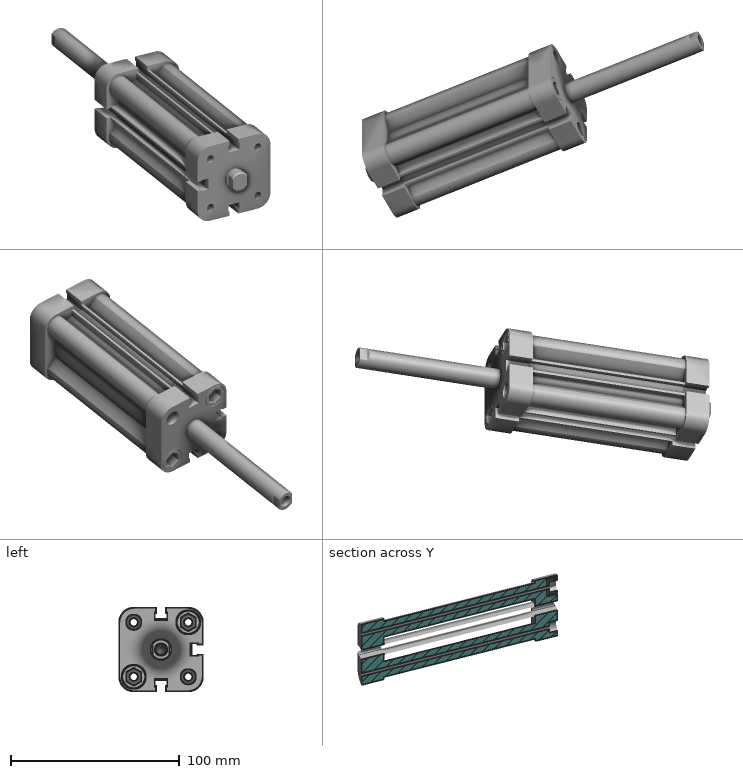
import cadquery as cq
import math

TOTAL_LENGTH = 218.5
CAP_START = 87.0
CAP_LENGTH = 14.5
BARREL_LENGTH = 95.5
BARREL_START = CAP_START + CAP_LENGTH
REAR_CAP_START = BARREL_START + BARREL_LENGTH
HOUSING_LENGTH = REAR_CAP_START + CAP_LENGTH - CAP_START

CAP_SIZE = 49.5
HALF_CAP = CAP_SIZE / 2
BOLT_OFFSET = 16.2
CAP_CORNER_RADIUS = HALF_CAP - BOLT_OFFSET

LOBE_RADIUS = 6.8
LOBE_EDGE_OFFSET = 13.5
LOBE_FOOT_OFFSET = 7.9
TUBE_RADIUS = 18.1
RAIL_HALF_WIDTH = 4.4
RAIL_TOP = 22.0
RAIL_FILLET = 1.3
LOBE_FILLET = 0.7
EDGE_TOLERANCE = 0.02

SLOT_NECK_WIDTH = 6.0
SLOT_WIDTH = 7.2
CAP_LIP_BOTTOM = 22.0
CAP_SLOT_FLOOR = 17.5
BARREL_LIP_BOTTOM = 21.5
BARREL_SLOT_FLOOR = 18.1
SLOT_ANGLES = (0, 90, 180)

BOLT_HOLE_DIAMETER = 4.8
COUNTERBORE_DIAMETER = 9.2
COUNTERBORE_DEPTH = 5.0
SCREW_DIAMETER = 13.5
SCREW_LENGTH = 6.5
SCREW_RECESS_DIAMETER = 14.5
SOCKET_FLATS = 9.2
SOCKET_DEPTH = 5.0
SCREW_CORNERS = [(-BOLT_OFFSET, BOLT_OFFSET), (BOLT_OFFSET, -BOLT_OFFSET)]
PLAIN_CORNERS = [(BOLT_OFFSET, BOLT_OFFSET), (-BOLT_OFFSET, -BOLT_OFFSET)]

ROD_DIAMETER = 12.2
ROD_RADIUS = ROD_DIAMETER / 2
ROD_REAR_CHAMFER = 0.7
ROD_FRONT_CHAMFER = 0.2
FLATS_WIDTH = 9.8
FLATS_LENGTH = 4.8
FLATS_RAMP_LENGTH = 0.9
TAP_DIAMETER = 6.3
TAP_DEPTH = 11.0
TAP_COUNTERSINK = 0.55
DRILL_TIP_ANGLE = 118


def section_at(x):
    """Workplane across the axis at x: local axes are Y and Z, extrusion runs along +X."""
    return cq.Workplane("YZ", origin=(x, 0, 0))


def make_cap(x):
    block = section_at(x).rect(CAP_SIZE, CAP_SIZE).extrude(CAP_LENGTH)
    return block.edges("|X").fillet(CAP_CORNER_RADIUS)


def make_lobe(angle):
    """Corner lobe round a bolt hole, with flat flanks running in towards the tube."""
    edge_drop = BOLT_OFFSET - LOBE_EDGE_OFFSET
    edge_height = BOLT_OFFSET + math.sqrt(LOBE_RADIUS**2 - edge_drop**2)
    tip = BOLT_OFFSET + LOBE_RADIUS / math.sqrt(2)
    foot_height = math.sqrt(TUBE_RADIUS**2 - LOBE_FOOT_OFFSET**2)
    lobe = (
        section_at(BARREL_START)
        .moveTo(0, 0)
        .lineTo(LOBE_FOOT_OFFSET, foot_height)
        .lineTo(LOBE_EDGE_OFFSET, edge_height)
        .threePointArc((tip, tip), (edge_height, LOBE_EDGE_OFFSET))
        .lineTo(foot_height, LOBE_FOOT_OFFSET)
        .close()
        .extrude(BARREL_LENGTH)
    )
    return lobe.rotate((0, 0, 0), (1, 0, 0), angle)


def make_rail(angle):
    """Raised rail that carries a T-slot."""
    rail = section_at(BARREL_START).center(0, RAIL_TOP / 2).rect(2 * RAIL_HALF_WIDTH, RAIL_TOP)
    return rail.extrude(BARREL_LENGTH).rotate((0, 0, 0), (1, 0, 0), angle)


def has_foot_at(offset):
    """Filter for lengthwise edges on the tube surface, at this sideways offset from a side's middle."""

    def matches(edge):
        center = edge.Center()
        on_tube = abs(math.hypot(center.y, center.z) - TUBE_RADIUS) < EDGE_TOLERANCE
        sideways = min(abs(center.y), abs(center.z))
        return on_tube and abs(sideways - offset) < EDGE_TOLERANCE

    return matches


def make_barrel():
    """Round tube with a lobe at each corner and a rail at each T-slot, blended at their feet."""
    barrel = section_at(BARREL_START).circle(TUBE_RADIUS).extrude(BARREL_LENGTH)
    for quarter in range(4):
        barrel = barrel.union(make_lobe(90 * quarter))
    for angle in SLOT_ANGLES:
        barrel = barrel.union(make_rail(angle))
    barrel = barrel.edges("|X").filter(has_foot_at(RAIL_HALF_WIDTH)).fillet(RAIL_FILLET)
    return barrel.edges("|X").filter(has_foot_at(LOBE_FOOT_OFFSET)).fillet(LOBE_FILLET)


def make_slot(x, length, lip_bottom, floor):
    """Cutter for the top T-slot, open outward as far as the cap faces."""
    neck = (
        section_at(x)
        .center(0, (floor + HALF_CAP) / 2)
        .rect(SLOT_NECK_WIDTH, HALF_CAP - floor)
        .extrude(length)
    )
    wide = (
        section_at(x)
        .center(0, (floor + lip_bottom) / 2)
        .rect(SLOT_WIDTH, lip_bottom - floor)
        .extrude(length)
    )
    return neck.union(wide)


def make_housing():
    """Both caps and the profiled barrel between them, bored for the rod and the bolts."""
    housing = make_barrel()
    for x in (CAP_START, REAR_CAP_START):
        housing = housing.union(make_cap(x))

    slots = [
        make_slot(CAP_START, CAP_LENGTH, CAP_LIP_BOTTOM, CAP_SLOT_FLOOR),
        make_slot(BARREL_START, BARREL_LENGTH, BARREL_LIP_BOTTOM, BARREL_SLOT_FLOOR),
        make_slot(REAR_CAP_START, CAP_LENGTH, CAP_LIP_BOTTOM, CAP_SLOT_FLOOR),
    ]
    for angle in SLOT_ANGLES:
        for slot in slots:
            housing = housing.cut(slot.rotate((0, 0, 0), (1, 0, 0), angle))

    front = section_at(CAP_START)
    corners = SCREW_CORNERS + PLAIN_CORNERS
    rod_bore = front.circle(ROD_RADIUS).extrude(HOUSING_LENGTH)
    bolt_holes = front.pushPoints(corners).circle(BOLT_HOLE_DIAMETER / 2).extrude(HOUSING_LENGTH)
    counterbores = (
        front.pushPoints(PLAIN_CORNERS).circle(COUNTERBORE_DIAMETER / 2).extrude(COUNTERBORE_DEPTH)
    )
    recesses = (
        front.pushPoints(SCREW_CORNERS).circle(SCREW_RECESS_DIAMETER / 2).extrude(SCREW_LENGTH)
    )
    return housing.cut(rod_bore).cut(bolt_holes).cut(counterbores).cut(recesses)


def make_screw(corner):
    """Hollow screw with a hexagon socket, flush with the front cap."""
    front = section_at(CAP_START).center(*corner)
    body = front.circle(SCREW_DIAMETER / 2).circle(BOLT_HOLE_DIAMETER / 2).extrude(SCREW_LENGTH)
    socket = front.polygon(6, SOCKET_FLATS, circumscribed=True).extrude(SOCKET_DEPTH)
    return body.cut(socket)


def make_flat_cutter(side):
    """Cutter for one flat at the rod's front tip, ending in a steep ramp."""
    inner = side * FLATS_WIDTH / 2
    outer = side * ROD_RADIUS
    return (
        cq.Workplane("XY")
        .moveTo(0, inner)
        .lineTo(FLATS_LENGTH, inner)
        .lineTo(FLATS_LENGTH + FLATS_RAMP_LENGTH, outer)
        .lineTo(0, outer)
        .close()
        .extrude(ROD_RADIUS, both=True)
    )


def make_rod():
    """Through rod with spanner flats at both ends and a drilled hole in the front tip."""
    rod = section_at(0).circle(ROD_RADIUS).extrude(TOTAL_LENGTH)
    rod = rod.faces(">X").chamfer(ROD_REAR_CHAMFER)
    rod = rod.faces("<X").chamfer(ROD_FRONT_CHAMFER)
    for side in (-1, 1):
        front_flat = make_flat_cutter(side)
        rear_flat = front_flat.mirror("YZ").translate((TOTAL_LENGTH, 0, 0))
        rod = rod.cut(front_flat).cut(rear_flat)

    tap_radius = TAP_DIAMETER / 2
    tip_depth = tap_radius / math.tan(math.radians(DRILL_TIP_ANGLE / 2))
    drilled_hole = (
        cq.Workplane("XY")
        .polyline(
            [
                (0, 0),
                (0, tap_radius + TAP_COUNTERSINK),
                (TAP_COUNTERSINK, tap_radius),
                (TAP_DEPTH, tap_radius),
                (TAP_DEPTH + tip_depth, 0),
            ]
        )
        .close()
        .revolve(360, (0, 0, 0), (1, 0, 0))
    )
    return rod.cut(drilled_hole)


housing = make_housing()
rod = make_rod()
screws = [make_screw(corner) for corner in SCREW_CORNERS]

result = cq.Compound.makeCompound(
    [housing.val(), rod.val(), *[screw.val() for screw in screws]]
)